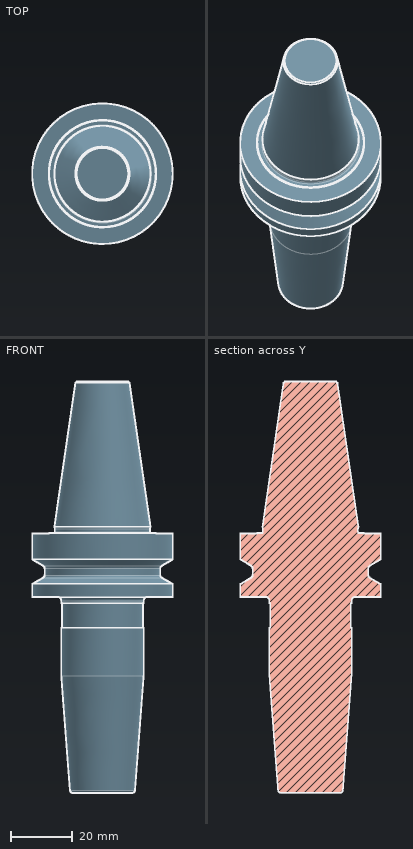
import cadquery as cq


GAUGE_RADIUS = 31.75 / 2
TAPER_LENGTH = 48.4
RADIUS_LOSS_PER_HEIGHT = 7 / 24 / 2
SHANK_END_CHAMFER = 0.5

RELIEF_TOP = 1.0
RELIEF_RADIUS = 15.6
RELIEF_LEAD_IN = 0.7
RELIEF_FILLET = 0.4

FLANGE_RADIUS = 23.0
FLANGE_TOP = -1.25
FLANGE_BOTTOM = -22.0
CONTACT_FACE_HEIGHT = 0.15
CONTACT_FACE_RADIUS = 17.35
CONTACT_FACE_FOOT_RADIUS = 17.6

GROOVE_TOP = -9.75
GROOVE_FLOOR_TOP = -12.1
GROOVE_FLOOR_BOTTOM = -15.4
GROOVE_BOTTOM = -17.75
GROOVE_FLOOR_RADIUS = 18.9
GROOVE_CORNER_FILLET = 1.0

NECK_RADIUS = 13.3
BODY_RADIUS = 13.5
NECK_COLLAR_FILLET = 1.2
NECK_COLLAR_BOTTOM = -24.0
BODY_TOP = -32.0
NOSE_TOP = -47.7
NOSE_BOTTOM = -86.0
NOSE_END_RADIUS = 10.6
NOSE_END_FILLET = 1.0


def taper_radius(z):
    """Radius of the shank cone at height z."""
    return GAUGE_RADIUS - RADIUS_LOSS_PER_HEIGHT * z


def turned(outline):
    """Close a half outline in the XZ plane and revolve it about Z."""
    return outline.close().revolve(360, (0, 0, 0), (0, 1, 0))


def shank():
    """Taper shank with its relief groove, ending on the contact face."""
    chamfer_start = TAPER_LENGTH - SHANK_END_CHAMFER
    contact_face_top = FLANGE_TOP + CONTACT_FACE_HEIGHT
    outline = (
        cq.Workplane("XZ")
        .moveTo(0, FLANGE_TOP)
        .lineTo(0, TAPER_LENGTH)
        .lineTo(taper_radius(chamfer_start) - SHANK_END_CHAMFER, TAPER_LENGTH)
        .lineTo(taper_radius(chamfer_start), chamfer_start)
        .lineTo(taper_radius(RELIEF_TOP), RELIEF_TOP)
        .lineTo(RELIEF_RADIUS, RELIEF_TOP - RELIEF_LEAD_IN)
        .lineTo(RELIEF_RADIUS, contact_face_top + RELIEF_FILLET)
        .radiusArc((RELIEF_RADIUS + RELIEF_FILLET, contact_face_top), -RELIEF_FILLET)
        .lineTo(CONTACT_FACE_RADIUS, contact_face_top)
        .lineTo(CONTACT_FACE_FOOT_RADIUS, FLANGE_TOP)
    )
    return turned(outline)


def flange():
    """Flange disc with the gripper groove cut around it."""
    disc = (
        cq.Workplane("XY")
        .workplane(offset=FLANGE_BOTTOM)
        .circle(FLANGE_RADIUS)
        .extrude(FLANGE_TOP - FLANGE_BOTTOM)
    )
    groove = turned(
        cq.Workplane("XZ")
        .moveTo(FLANGE_RADIUS, GROOVE_TOP)
        .lineTo(GROOVE_FLOOR_RADIUS, GROOVE_FLOOR_TOP)
        .lineTo(GROOVE_FLOOR_RADIUS, GROOVE_FLOOR_BOTTOM)
        .lineTo(FLANGE_RADIUS, GROOVE_BOTTOM)
    )
    floor_corners = cq.selectors.RadiusNthSelector(0)
    return disc.cut(groove.edges(floor_corners).fillet(GROOVE_CORNER_FILLET))


def holder_nose():
    """Filleted collar, neck, straight body and tapered nose below the flange."""
    outline = (
        cq.Workplane("XZ")
        .moveTo(0, FLANGE_BOTTOM)
        .lineTo(BODY_RADIUS + NECK_COLLAR_FILLET, FLANGE_BOTTOM)
        .radiusArc((BODY_RADIUS, FLANGE_BOTTOM - NECK_COLLAR_FILLET), -NECK_COLLAR_FILLET)
        .lineTo(BODY_RADIUS, NECK_COLLAR_BOTTOM)
        .lineTo(NECK_RADIUS, NECK_COLLAR_BOTTOM)
        .lineTo(NECK_RADIUS, BODY_TOP)
        .lineTo(BODY_RADIUS, BODY_TOP)
        .lineTo(BODY_RADIUS, NOSE_TOP)
        .lineTo(NOSE_END_RADIUS, NOSE_BOTTOM)
        .lineTo(0, NOSE_BOTTOM)
    )
    return turned(outline).faces("<Z").edges().fillet(NOSE_END_FILLET)


result = shank().union(flange()).union(holder_nose())